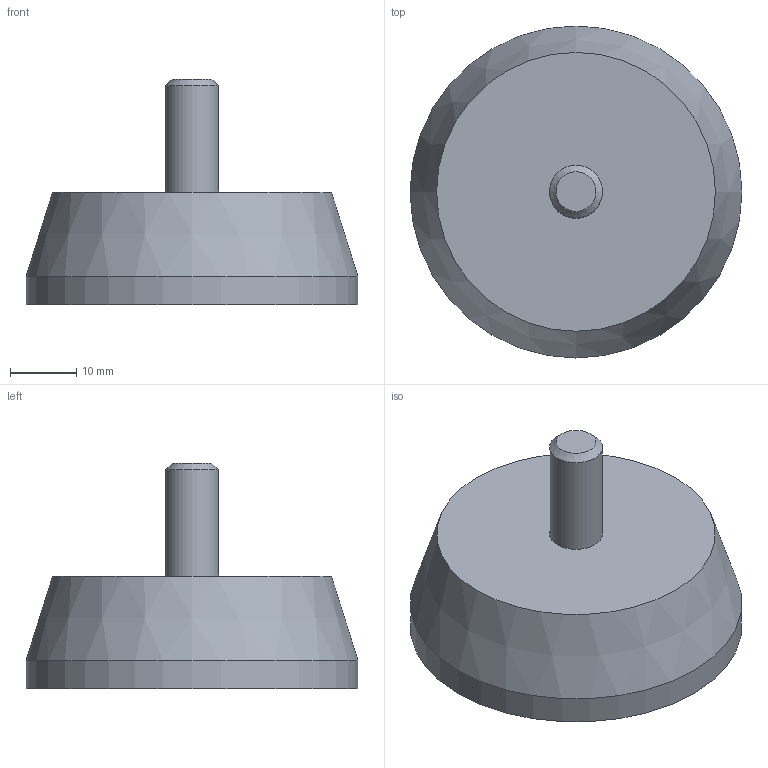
import cadquery as cq

base_diameter = 50.0
top_diameter = 42.0
rim_height = 4.25
body_height = 17.0
stud_diameter = 8.0
stud_length = 17.0
stud_chamfer = 1.0


def make_body():
    """Round foot: a straight rim at the bottom, tapering to a flat top."""
    base_radius = base_diameter / 2
    top_radius = top_diameter / 2
    return (
        cq.Workplane("XZ")
        .moveTo(0, 0)
        .lineTo(base_radius, 0)
        .lineTo(base_radius, rim_height)
        .lineTo(top_radius, body_height)
        .lineTo(0, body_height)
        .close()
        .revolve(360, (0, 0, 0), (0, 1, 0))
    )


def make_stud():
    """Plain stud on the flat top, with a chamfered tip."""
    return (
        cq.Workplane("XY")
        .workplane(offset=body_height)
        .circle(stud_diameter / 2)
        .extrude(stud_length)
        .faces(">Z")
        .chamfer(stud_chamfer)
    )


result = make_body().union(make_stud())